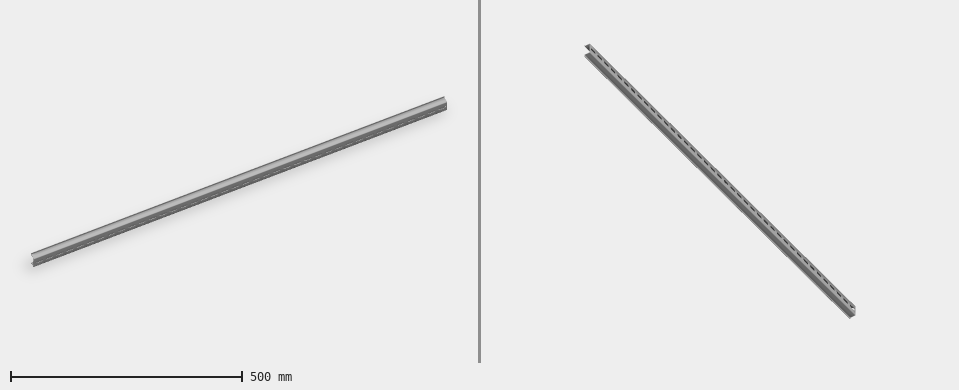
import cadquery as cq

rail_length = 1000.0
rail_depth = 15.0
rail_height = 35.0
channel_height = 27.0
sheet_thickness = 1.0
inner_bend_radius = 0.8
outer_bend_radius = inner_bend_radius + sheet_thickness

slot_pitch = 25.0
slot_length = 18.0
slot_width = 6.3
slot_count = int(rail_length / slot_pitch)

lip_face_x = -rail_depth / 2
lip_back_x = lip_face_x + sheet_thickness
web_back_x = rail_depth / 2
web_face_x = web_back_x - sheet_thickness
lip_edge_z = rail_height / 2
wall_outer_z = channel_height / 2
wall_inner_z = wall_outer_z - sheet_thickness


def at_corner(x, z):
    """Selector for the lengthwise edge at one corner of the rail's section."""
    reach = sheet_thickness / 4
    return cq.selectors.BoxSelector(
        (x - reach, -rail_length, z - reach),
        (x + reach, rail_length, z + reach),
    )


def make_rail():
    """Bent sheet: a C-shaped channel with an outward lip on each wall."""
    upper_half = [
        (web_back_x, wall_outer_z),
        (lip_back_x, wall_outer_z),
        (lip_back_x, lip_edge_z),
        (lip_face_x, lip_edge_z),
        (lip_face_x, wall_inner_z),
        (web_face_x, wall_inner_z),
    ]
    lower_half = [(x, -z) for x, z in reversed(upper_half)]
    rail = (
        cq.Workplane("XZ")
        .polyline(upper_half + lower_half)
        .close()
        .extrude(rail_length / 2, both=True)
    )
    for side in (1, -1):
        for x, z in ((web_face_x, wall_inner_z), (lip_back_x, wall_outer_z)):
            rail = rail.edges(at_corner(x, side * z)).fillet(inner_bend_radius)
        for x, z in ((web_back_x, wall_outer_z), (lip_face_x, wall_inner_z)):
            rail = rail.edges(at_corner(x, side * z)).fillet(outer_bend_radius)
    return rail


def cut_slots(rail):
    """Row of round-ended slots through the web, evenly spaced along the rail."""
    slots = (
        cq.Workplane("YZ", origin=(web_face_x, 0, 0))
        .rarray(slot_pitch, 1, slot_count, 1)
        .slot2D(slot_length, slot_width)
        .extrude(sheet_thickness)
    )
    return rail.cut(slots)


result = cut_slots(make_rail())